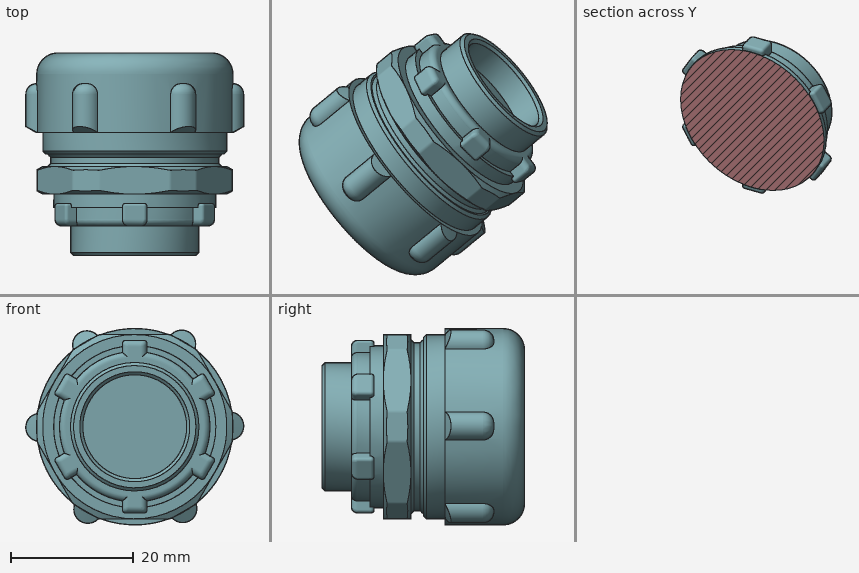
import cadquery as cq
import math


spigot_end = 4.8
collar_start = 7.8
hex_start = 10.0
hex_end = 14.5
neck_end = 16.0
cap_start = 20.0
cap_end = 33.0

bore_diameter = 16.9
spigot_diameter = 20.9
ring_diameter = 24.5
collar_diameter = 26.4
neck_diameter = 27.4
shoulder_diameter = 30.0
cap_diameter = 32.0

bore_depth = spigot_end
mouth_chamfer = 0.5
ring_round = 1.0
neck_chamfer = 0.5
shoulder_chamfer = 0.5
cap_round = 3.5

hex_across_flats = 30.0
hex_across_corners = 31.8
hex_corner_round = 1.0
hex_bevel_angle = 30.0

tooth_count = 6
tooth_first_angle = 30.0
tooth_width = 4.0
tooth_tip_radius = 14.05
tooth_end = 8.5
tooth_front_round = 1.0
tooth_edge_round = 0.5

rib_count = 6
rib_first_angle = 0.4
rib_radius = 2.3
rib_tip_radius = 17.75
rib_end = 28.0
rib_end_round = 1.75
rib_front_slope = 30.0


def cylinder(diameter, start, end):
    """Solid cylinder on the Y axis from Y = start to Y = end."""
    return cq.Workplane("XZ", origin=(0, start, 0)).circle(diameter / 2).extrude(start - end)


def revolved(outline):
    """Solid of revolution about Y from (radius, Y) points."""
    return cq.Workplane("XY").polyline(outline).close().revolve(360, (0, 0, 0), (0, 1, 0))


def hexagon(across_flats, start, end, angle):
    """Hexagonal prism on the Y axis, turned by the given angle from flats at +-Z."""
    corner_diameter = across_flats / math.cos(math.pi / 6)
    prism = cq.Workplane("XZ", origin=(0, start, 0)).polygon(6, corner_diameter).extrude(start - end)
    return prism.rotate((0, 0, 0), (0, 1, 0), angle)


def around_axis(shape, count, first_angle):
    """Copies of a shape lying along +X, spread evenly around Y and turned from +X toward +Z."""
    copies = []
    for index in range(count):
        angle = first_angle + index * 360 / count
        copies.append(shape.rotate((0, 0, 0), (0, 1, 0), -angle))
    return copies


def make_cap():
    return cylinder(cap_diameter, cap_start, cap_end).faces(">Y").edges().fillet(cap_round)


def make_rib():
    center = rib_tip_radius - rib_radius
    rib = (
        cq.Workplane("XZ", origin=(0, cap_start, 0))
        .center(center, 0)
        .circle(rib_radius)
        .extrude(cap_start - rib_end)
        .faces(">Y")
        .edges()
        .fillet(rib_end_round)
    )
    cap_radius = cap_diameter / 2
    run = rib_tip_radius - cap_radius
    rise = run * math.tan(math.radians(rib_front_slope))
    slope = revolved([
        (cap_radius, cap_start),
        (rib_tip_radius + rib_radius, cap_start),
        (rib_tip_radius + rib_radius, cap_start + rise),
        (rib_tip_radius, cap_start + rise),
    ])
    return rib.cut(slope)


def make_shoulder_and_neck():
    neck_radius = neck_diameter / 2
    shoulder_radius = shoulder_diameter / 2
    shoulder_start = neck_end + neck_chamfer
    return revolved([
        (0, hex_end),
        (neck_radius + neck_chamfer, hex_end),
        (neck_radius, hex_end + neck_chamfer),
        (neck_radius, neck_end),
        (neck_radius + neck_chamfer, shoulder_start),
        (shoulder_radius - shoulder_chamfer, shoulder_start),
        (shoulder_radius, shoulder_start + shoulder_chamfer),
        (shoulder_radius, cap_start),
        (0, cap_start),
    ])


def make_hex():
    flats = hexagon(hex_across_flats, hex_start, hex_end, 0)
    corners = hexagon(hex_across_corners, hex_start, hex_end, 30)
    prism = flats.intersect(corners).edges("|Y").fillet(hex_corner_round)
    inner = hex_across_flats / 2
    outer = hex_across_corners / 2 + hex_corner_round
    bevel = (outer - inner) * math.tan(math.radians(hex_bevel_angle))
    envelope = revolved([
        (0, hex_start),
        (inner, hex_start),
        (outer, hex_start + bevel),
        (outer, hex_end - bevel),
        (inner, hex_end),
        (0, hex_end),
    ])
    return prism.intersect(envelope)


def make_tooth():
    tooth = cq.Workplane("XY", origin=(0, spigot_end, 0)).box(
        tooth_tip_radius, tooth_end - spigot_end, tooth_width, centered=(False, False, True)
    )
    tooth = tooth.edges("|Y and >X").fillet(tooth_edge_round)
    tooth = tooth.faces(">Y").edges("not <X").fillet(tooth_edge_round)
    return tooth.faces("<Y").edges("not <X").fillet(tooth_front_round)


def make_ring():
    ring = cylinder(ring_diameter, spigot_end, collar_start)
    return ring.faces("<Y").edges().fillet(ring_round)


def make_spigot():
    return cylinder(spigot_diameter, 0, spigot_end).faces("<Y").chamfer(mouth_chamfer)


def make_bore():
    bore_radius = bore_diameter / 2
    return revolved([
        (0, 0),
        (bore_radius + mouth_chamfer, 0),
        (bore_radius, mouth_chamfer),
        (bore_radius, bore_depth),
        (0, bore_depth),
    ])


result = make_cap().union(make_shoulder_and_neck()).union(make_hex())
result = result.union(cylinder(collar_diameter, collar_start, hex_start))
result = result.union(make_ring()).union(make_spigot())
for rib in around_axis(make_rib(), rib_count, rib_first_angle):
    result = result.union(rib)
for tooth in around_axis(make_tooth(), tooth_count, tooth_first_angle):
    result = result.union(tooth)
result = result.cut(make_bore())